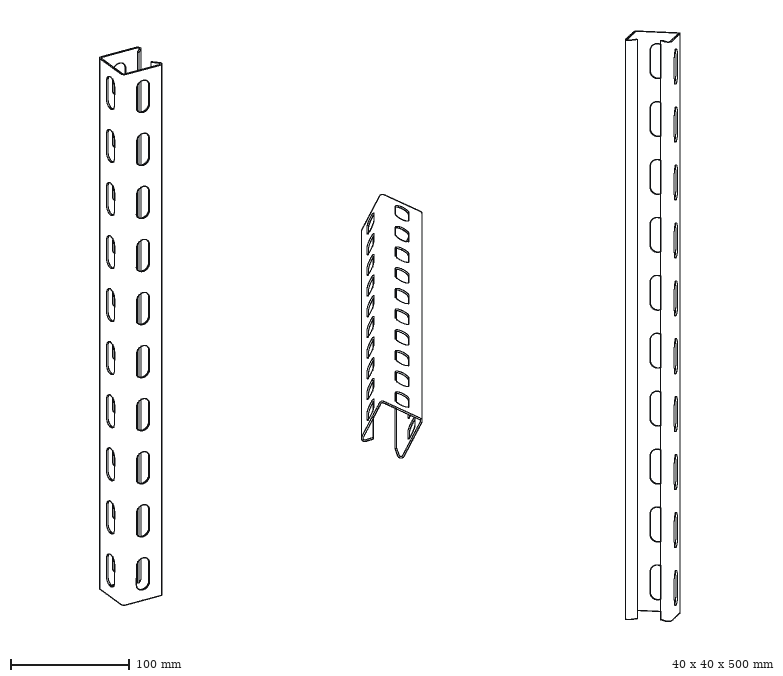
import cadquery as cq
import math

length = 500.0
side = 40.0
sheet = 1.5
bend_radius = 3.0
mouth = 20.0
lip_turn = 135.0

slot_length = 30.0
slot_width = 13.0
slot_count = 10

half_side = side / 2
half_mouth = mouth / 2
inner_half = half_side - sheet
bend_center = half_side - bend_radius
inner_radius = bend_radius - sheet
corner_middle = -45.0
lip_middle = lip_turn / 2
slot_pitch = length / slot_count

lip_normal = (math.cos(math.radians(lip_turn)), math.sin(math.radians(lip_turn)))
lip_direction = (-lip_normal[1], lip_normal[0])


def on_bend(radius, angle, center_y):
    """Point on the bend around (bend_center, center_y)."""
    turn = math.radians(angle)
    return (bend_center + radius * math.cos(turn), center_y + radius * math.sin(turn))


def half_section():
    """Right half of the channel section, with the mouth toward +Y."""
    lip_start = on_bend(bend_radius, lip_turn, bend_center)
    lip_length = (half_mouth - lip_start[0]) / lip_direction[0]
    tip_outer = (half_mouth, lip_start[1] + lip_length * lip_direction[1])
    tip_inner = (tip_outer[0] - sheet * lip_normal[0], tip_outer[1] - sheet * lip_normal[1])
    return (
        cq.Workplane("XY")
        .moveTo(0, -half_side)
        .lineTo(bend_center, -half_side)
        .threePointArc(on_bend(bend_radius, corner_middle, -bend_center), (half_side, -bend_center))
        .lineTo(half_side, bend_center)
        .threePointArc(on_bend(bend_radius, lip_middle, bend_center), lip_start)
        .lineTo(*tip_outer)
        .lineTo(*tip_inner)
        .lineTo(*on_bend(inner_radius, lip_turn, bend_center))
        .threePointArc(on_bend(inner_radius, lip_middle, bend_center), (inner_half, bend_center))
        .lineTo(inner_half, -bend_center)
        .threePointArc(on_bend(inner_radius, corner_middle, -bend_center), (bend_center, -inner_half))
        .lineTo(0, -inner_half)
        .close()
    )


def slot_row(plane, depth, both):
    """Cutters for one row of upright slots, evenly spaced along the channel."""
    return (
        cq.Workplane(plane)
        .center(0, length / 2)
        .rarray(5, slot_pitch, 1, slot_count)
        .slot2D(slot_length, slot_width, 90)
        .extrude(depth, both=both)
    )


half_channel = half_section().extrude(length)
channel = half_channel.union(half_channel.mirror("YZ"))

back_slots = slot_row("XZ", side, both=False)
side_slots = slot_row("YZ", side, both=True)

result = channel.cut(back_slots).cut(side_slots).clean()